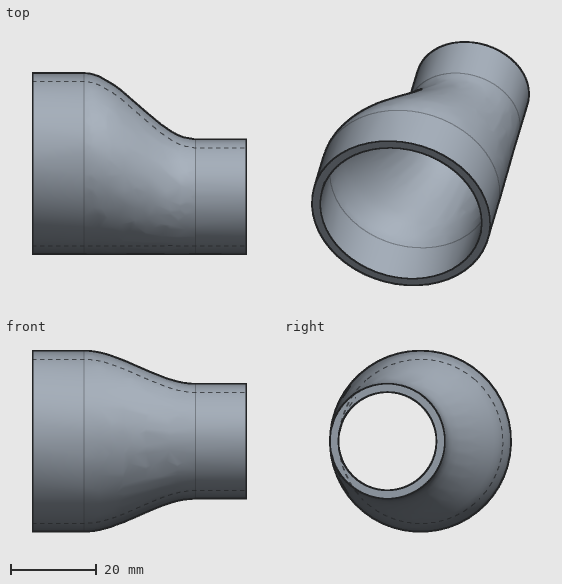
import cadquery as cq

total_length = 50.0
collar_length = 12.0
large_diameter = 42.4
small_diameter = 26.9
wall = 2.0
section_count = 13

taper_length = total_length - 2 * collar_length
eccentricity = (large_diameter - small_diameter) / 2


def circle_at(x, center_y, radius):
    """Circular wire across the X axis."""
    return cq.Wire.makeCircle(radius, cq.Vector(x, center_y, 0), cq.Vector(1, 0, 0))


def collar(x_start, center_y, radius):
    """Straight cylinder along X at one end of the reducer."""
    return cq.Workplane(
        cq.Solid.makeCylinder(radius, collar_length, cq.Vector(x_start, center_y, 0), cq.Vector(1, 0, 0))
    )


def taper(large_radius):
    """S-shaped taper, level with the collars at both ends and straight along -Y."""
    sections = []
    for index in range(section_count):
        t = index / (section_count - 1)
        drop = eccentricity * (3 * t**2 - 2 * t**3)
        sections.append(circle_at(collar_length + t * taper_length, -drop, large_radius - drop))
    return cq.Workplane(cq.Solid.makeLoft(sections))


def reducer_body(large_radius):
    """Solid reducer: large collar, eccentric taper and small collar."""
    large_collar = collar(0, 0, large_radius)
    small_collar = collar(total_length - collar_length, -eccentricity, large_radius - eccentricity)
    return large_collar.union(taper(large_radius)).union(small_collar)


outside = reducer_body(large_diameter / 2)
bore = reducer_body(large_diameter / 2 - wall)

result = outside.cut(bore)